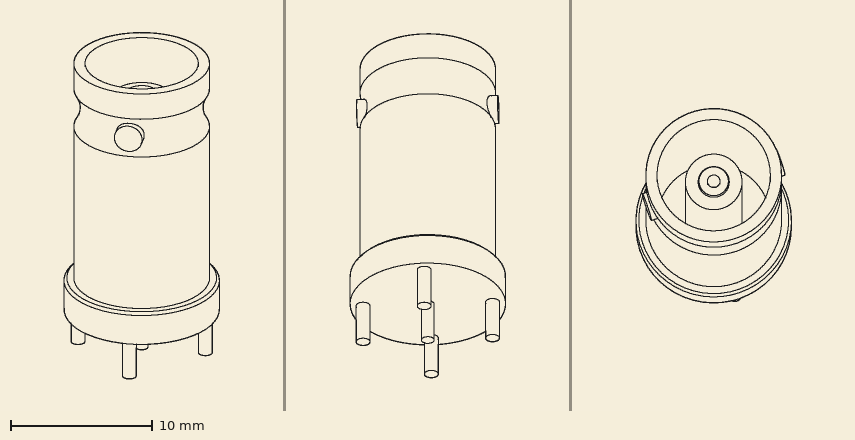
import cadquery as cq
import math

total_height = 22.5
flange_bottom = 3.0
flange_top = 5.5

flange_diameter = 11.0
flange_chamfer = 0.2
barrel_diameter = 9.6
bore_diameter = 8.0
rim_height = 2.0
groove_height = 3.0
groove_depth = 0.45
groove_middle = total_height - rim_height - groove_height / 2

lug_diameter = 2.0
lug_tip_span = 10.0
lug_angles = (135, 315)

leg_diameter = 1.0
leg_offset = 3.25

insulator_diameter = 4.0
insulator_top = total_height - 2.55
contact_diameter = 2.2
contact_tip_diameter = 2.07
contact_tip_height = 0.25
contact_top = insulator_top + contact_tip_height
contact_hole_diameter = 0.9
contact_hole_depth = 4.5
stem_diameter = 0.9


def cylinder(diameter, bottom, top):
    """Upright cylinder on the Z axis between two heights."""
    return cq.Workplane("XY").workplane(offset=bottom).circle(diameter / 2).extrude(top - bottom)


def make_shell():
    """Flanged barrel with a concave groove below its rim."""
    flange = cylinder(flange_diameter, flange_bottom, flange_top).faces(">Z").chamfer(flange_chamfer)
    barrel_radius = barrel_diameter / 2
    barrel = (
        cq.Workplane("XZ")
        .moveTo(0, flange_bottom)
        .lineTo(barrel_radius, flange_bottom)
        .lineTo(barrel_radius, groove_middle - groove_height / 2)
        .threePointArc(
            (barrel_radius - groove_depth, groove_middle),
            (barrel_radius, groove_middle + groove_height / 2),
        )
        .lineTo(barrel_radius, total_height)
        .lineTo(0, total_height)
        .close()
        .revolve(360, (0, 0, 0), (0, 1, 0))
    )
    return flange.union(barrel)


def make_lug(angle):
    """Round lug pointing outward from the axis in the given direction."""
    direction = cq.Vector(math.cos(math.radians(angle)), math.sin(math.radians(angle)), 0)
    base = cq.Vector(0, 0, groove_middle)
    return cq.Workplane(cq.Solid.makeCylinder(lug_diameter / 2, lug_tip_span / 2, base, direction))


def make_legs():
    """Four solder legs below the flange, carried up through it."""
    return (
        cq.Workplane("XY")
        .rect(2 * leg_offset, 2 * leg_offset, forConstruction=True)
        .vertices()
        .circle(leg_diameter / 2)
        .extrude(flange_top)
    )


def make_housing():
    """Shell, lugs and legs in one piece, with the open bore and the stem hole."""
    housing = make_shell()
    for angle in lug_angles:
        housing = housing.union(make_lug(angle))
    housing = housing.union(make_legs())
    housing = housing.cut(cylinder(bore_diameter, flange_top, total_height))
    return housing.cut(cylinder(stem_diameter, flange_bottom, flange_top))


def make_insulator():
    """Sleeve standing on the bore floor around the contact."""
    sleeve = cylinder(insulator_diameter, flange_top, insulator_top)
    return sleeve.cut(cylinder(contact_diameter, flange_top, insulator_top))


def make_contact():
    """Socket with a tapered tip above the insulator and a thin stem through the base."""
    tip = cq.Solid.makeCone(
        contact_diameter / 2,
        contact_tip_diameter / 2,
        contact_tip_height,
        cq.Vector(0, 0, insulator_top),
    )
    socket = cylinder(contact_diameter, flange_top, insulator_top).union(cq.Workplane(tip))
    socket = socket.cut(cylinder(contact_hole_diameter, contact_top - contact_hole_depth, contact_top))
    return socket.union(cylinder(stem_diameter, 0, flange_top))


housing = make_housing()
insulator = make_insulator()
contact = make_contact()

result = cq.Compound.makeCompound([housing.val(), insulator.val(), contact.val()])